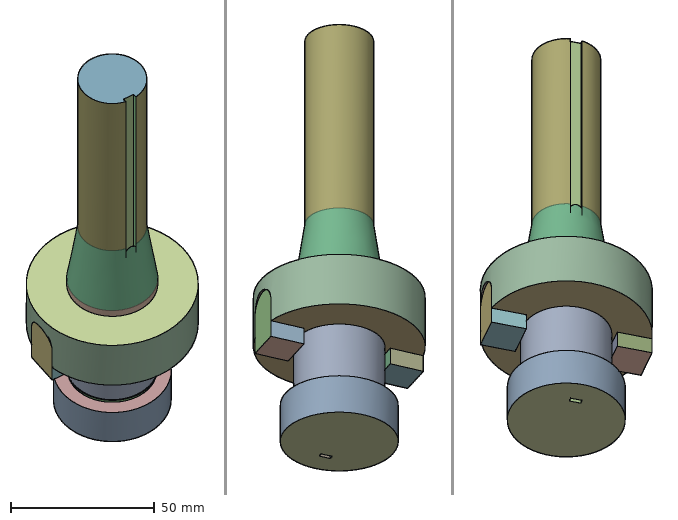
import cadquery as cq

total_height = 161.0
head_top = 14.7
relief_top = 16.0
flange_bottom = 38.2
flange_top = 58.1
taper_bottom = 61.0
taper_top = 87.1

head_diameter = 41.2
neck_diameter = 31.9
relief_diameter = 31.2
flange_diameter = 60.0
shank_diameter = 24.2

key_width = 13.2
key_bottom = 31.9
key_top = 53.3
key_inner = 16.6
key_outer = 29.3

keyway_width = 4.2
keyway_floor = 10.5
keyway_outer = shank_diameter / 2


def turned_body():
    """Revolve the stepped and tapered half profile about Z."""
    head_radius = head_diameter / 2
    relief_radius = relief_diameter / 2
    neck_radius = neck_diameter / 2
    flange_radius = flange_diameter / 2
    shank_radius = shank_diameter / 2
    profile = [
        (0, 0),
        (head_radius, 0),
        (head_radius, head_top),
        (relief_radius, head_top),
        (relief_radius, relief_top),
        (neck_radius, relief_top),
        (neck_radius, flange_bottom),
        (flange_radius, flange_bottom),
        (flange_radius, flange_top),
        (neck_radius, flange_top),
        (neck_radius, taper_bottom),
        (shank_radius, taper_top),
        (shank_radius, total_height),
        (0, total_height),
    ]
    return cq.Workplane("XZ").polyline(profile).close().revolve(360, (0, 0), (0, 1))


def key_prism(inner, outer):
    """Round-topped key shape on the -Y side between two distances from the axis."""
    half_width = key_width / 2
    arc_start = key_top - half_width
    return (
        cq.Workplane("XZ", origin=(0, -inner, 0))
        .moveTo(-half_width, key_bottom)
        .lineTo(half_width, key_bottom)
        .lineTo(half_width, arc_start)
        .threePointArc((0, key_top), (-half_width, arc_start))
        .close()
        .extrude(outer - inner)
    )


def keyway():
    """Rectangular slot through the full height."""
    return cq.Workplane("XY").box(
        keyway_outer - keyway_floor, keyway_width, total_height, centered=(False, True, False)
    ).translate((keyway_floor, 0, 0))


result = turned_body()
for angle in (0, 180):
    flat_recess = key_prism(key_outer, flange_diameter / 2)
    key = key_prism(key_inner, key_outer)
    result = result.cut(flat_recess.rotate((0, 0, 0), (0, 0, 1), angle))
    result = result.union(key.rotate((0, 0, 0), (0, 0, 1), angle))
result = result.cut(keyway())